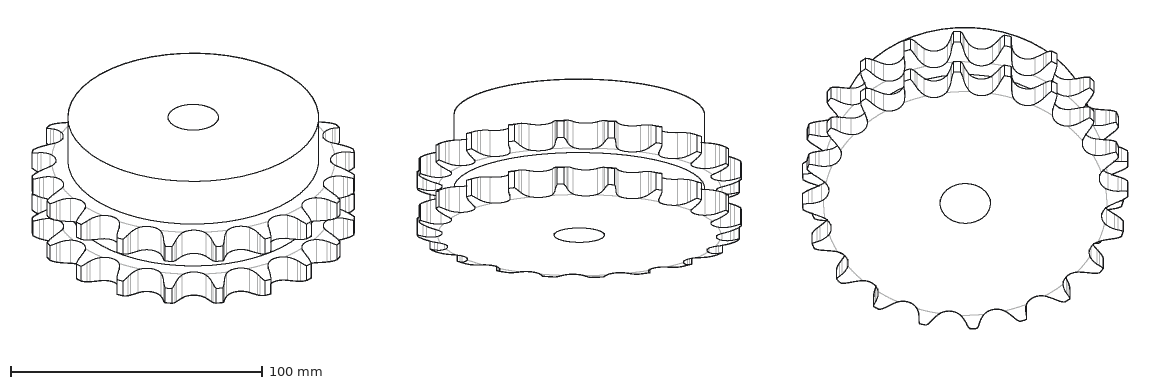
import cadquery as cq
import math


overall_width = 128.5
tooth_count = 20
chain_pitch = 19.0
roller_diameter = 12.1
seat_clearance = 0.04
strand_spacing = 19.4
rim_width = 10.8
bevel_start_radius = 56.4
bevel_arc_radius = chain_pitch
hub_diameter = 100.0
bore_diameter = 20.0
total_height = 50.0

tooth_angle = 360 / tooth_count
pitch_radius = chain_pitch / (2 * math.sin(math.radians(tooth_angle / 2)))

seat_radius = 0.5025 * roller_diameter + seat_clearance
seat_half_angle = math.radians(55 - 60 / tooth_count)
working_center_distance = 0.8 * roller_diameter
working_radius = seat_radius + working_center_distance
working_sweep = math.radians(18 - 56 / tooth_count)
topping_center_distance = 1.4 * roller_diameter
topping_center_angle = math.radians(17 - 64 / tooth_count)
topping_sweep = math.radians(30)

straight_length = (
    topping_center_distance * math.sin(topping_center_angle)
    - working_center_distance * math.sin(working_sweep)
)
topping_radius = (
    working_center_distance * math.cos(working_sweep)
    + topping_center_distance * math.cos(topping_center_angle)
    - working_radius
)


def polar_from(center, radius, angle):
    """Point at a radius from a centre, with the angle measured from -Y towards +X."""
    return center[0] + radius * math.sin(angle), center[1] - radius * math.cos(angle)


def mirrored(point):
    return -point[0], point[1]


roller_center = (0, pitch_radius)
seat_bottom = polar_from(roller_center, seat_radius, 0)
seat_end = polar_from(roller_center, seat_radius, seat_half_angle)

flank_angle = seat_half_angle + working_sweep
working_center = polar_from(roller_center, -working_center_distance, seat_half_angle)
working_middle = polar_from(working_center, working_radius, seat_half_angle + working_sweep / 2)
working_end = polar_from(working_center, working_radius, flank_angle)

straight_end = polar_from(working_end, straight_length, flank_angle + math.pi / 2)

topping_center = polar_from(straight_end, topping_radius, flank_angle)
topping_middle = polar_from(topping_center, -topping_radius, flank_angle - topping_sweep / 2)
topping_end = polar_from(topping_center, -topping_radius, flank_angle - topping_sweep)

tip_corner_y = overall_width / 2
tip_corner_x = topping_center[0] - math.sqrt(topping_radius**2 - (tip_corner_y - topping_center[1]) ** 2)
tip_radius = math.hypot(tip_corner_x, tip_corner_y)


def bevel_depth(radius):
    """Axial depth of the rounded bevel, tangent to the rim face, at a given radius."""
    run = radius - bevel_start_radius
    return bevel_arc_radius - math.sqrt(bevel_arc_radius**2 - run**2)


def rim_blank(bottom):
    """Disc with both outer edges bevelled by an arc, before the tooth gaps are cut."""
    top = bottom + rim_width
    middle_radius = (bevel_start_radius + tip_radius) / 2
    tip_drop = bevel_depth(tip_radius)
    middle_drop = bevel_depth(middle_radius)
    return (
        cq.Workplane("XZ")
        .moveTo(0, bottom)
        .lineTo(bevel_start_radius, bottom)
        .threePointArc((middle_radius, bottom + middle_drop), (tip_radius, bottom + tip_drop))
        .lineTo(tip_radius, top - tip_drop)
        .threePointArc((middle_radius, top - middle_drop), (bevel_start_radius, top))
        .lineTo(0, top)
        .close()
        .revolve(360, (0, 0), (0, 1))
    )


def tooth_gap():
    """Cutter for the gap centred on +Y, open past the tooth tips."""
    return (
        cq.Workplane("XY")
        .moveTo(*mirrored(topping_end))
        .threePointArc(mirrored(topping_middle), mirrored(straight_end))
        .lineTo(*mirrored(working_end))
        .threePointArc(mirrored(working_middle), mirrored(seat_end))
        .threePointArc(seat_bottom, seat_end)
        .threePointArc(working_middle, working_end)
        .lineTo(*straight_end)
        .threePointArc(topping_middle, topping_end)
        .close()
        .extrude(total_height)
    )


hub = cq.Workplane("XY").circle(hub_diameter / 2).extrude(total_height)
result = hub.union(rim_blank(0)).union(rim_blank(strand_spacing))

gap = tooth_gap()
for index in range(tooth_count):
    result = result.cut(gap.rotate((0, 0, 0), (0, 0, 1), index * tooth_angle))

bore = cq.Workplane("XY").circle(bore_diameter / 2).extrude(total_height)
result = result.cut(bore)